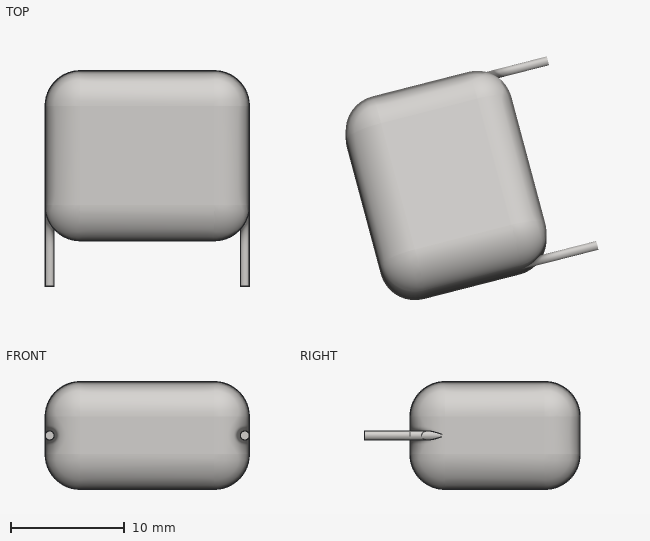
import cadquery as cq

body_width = 18.0
body_depth = 15.0
body_height = 9.5
edge_radius = 3.12

overall_depth = 19.0
lead_diameter = 0.8
lead_pitch = body_width - lead_diameter
lead_length = overall_depth - body_depth / 2


def make_body():
    """Rounded box with its rear face on Y = 0, centred on X and Z."""
    box = cq.Workplane("XY").box(body_width, body_depth, body_height)
    return box.edges().fillet(edge_radius).translate((0, -body_depth / 2, 0))


def make_lead(x):
    """Round wire along -Y, starting inside the body."""
    return (
        cq.Workplane("XZ", origin=(x, -body_depth / 2, 0))
        .circle(lead_diameter / 2)
        .extrude(lead_length)
    )


result = make_body()
for side in (-1, 1):
    result = result.union(make_lead(side * lead_pitch / 2))